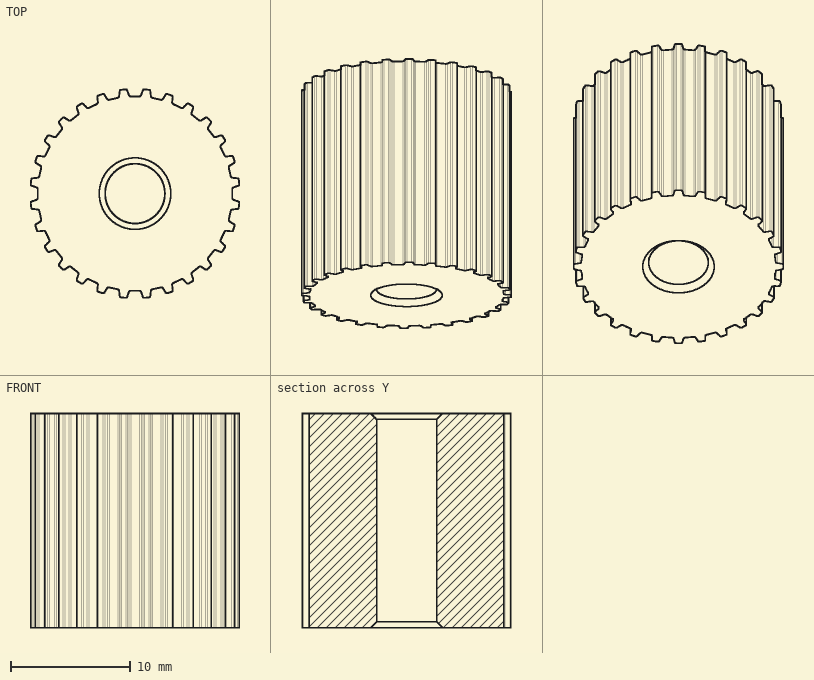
import cadquery as cq
import math

length = 18.0
tip_radius = 8.8

tooth_count = 28
floor_distance = 8.17
groove_root_width = 0.95
groove_mouth_width = 1.37
root_fillet = 0.15
tip_fillet = 0.15
groove_overshoot = 0.18

bore_diameter = 5.0
bore_chamfer = 0.5


def groove_cutter():
    """Straight-flanked, flat-floored groove centred on the +X axis."""
    floor_y = groove_root_width / 2
    mouth_y = groove_mouth_width / 2
    mouth_x = math.sqrt(tip_radius**2 - mouth_y**2)

    flank_slope = (mouth_y - floor_y) / (mouth_x - floor_distance)
    outer_x = tip_radius + groove_overshoot
    outer_y = mouth_y + flank_slope * (outer_x - mouth_x)

    return (
        cq.Workplane("XY")
        .moveTo(floor_distance, -floor_y)
        .lineTo(floor_distance, floor_y)
        .lineTo(outer_x, outer_y)
        .lineTo(outer_x, -outer_y)
        .close()
        .extrude(length)
        .edges("|Z and <X")
        .fillet(root_fillet)
    )


def toothed_cylinder():
    """Cylinder with evenly spaced grooves and rounded tooth tip corners."""
    body = cq.Workplane("XY").circle(tip_radius).extrude(length)
    cutter = groove_cutter()
    for index in range(tooth_count):
        angle = index * 360 / tooth_count
        body = body.cut(cutter.rotate((0, 0, 0), (0, 0, 1), angle))

    half_tooth_radius = (tip_radius + floor_distance) / 2
    tip_edges = body.edges("|Z").filter(
        lambda edge: math.hypot(edge.Center().x, edge.Center().y) > half_tooth_radius
    )
    return tip_edges.fillet(tip_fillet)


def bore_cutter():
    """Through bore that widens in a 45 degree chamfer at each end."""
    bore_radius = bore_diameter / 2
    mouth_radius = bore_radius + bore_chamfer
    return (
        cq.Workplane("XZ")
        .moveTo(0, 0)
        .lineTo(mouth_radius, 0)
        .lineTo(bore_radius, bore_chamfer)
        .lineTo(bore_radius, length - bore_chamfer)
        .lineTo(mouth_radius, length)
        .lineTo(0, length)
        .close()
        .revolve(360, (0, 0, 0), (0, 1, 0))
    )


result = toothed_cylinder().cut(bore_cutter())